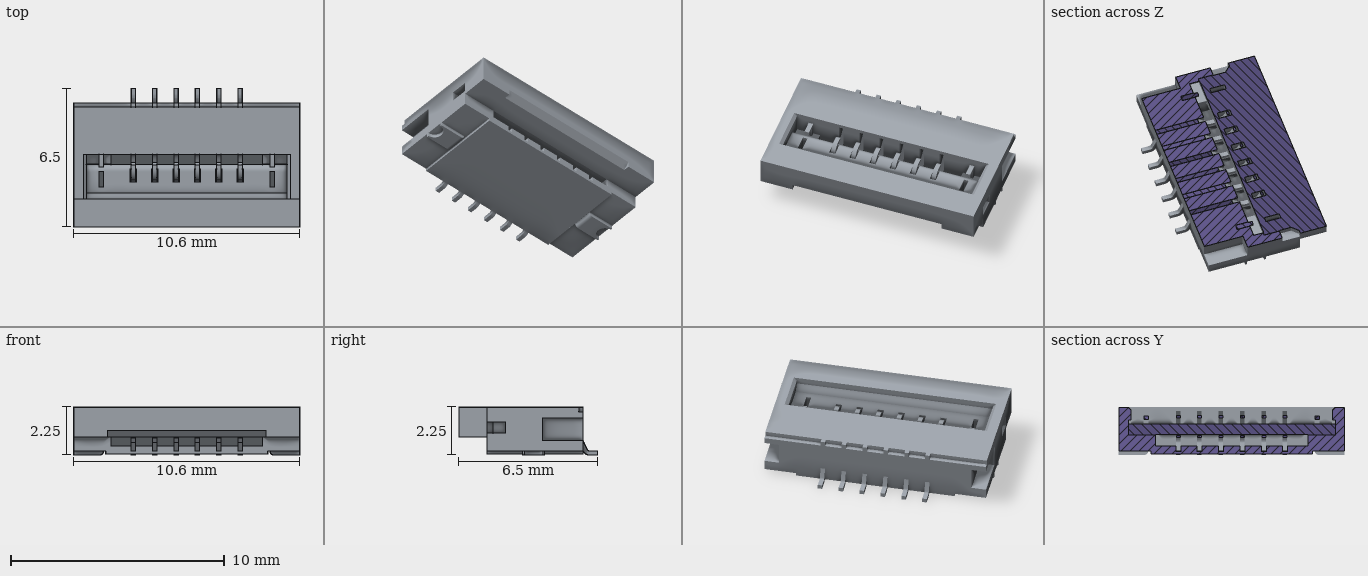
import cadquery as cq
import math


width = 10.6
height = 2.25
half_width = width / 2

housing_bottom = 0.05
housing_rear = 5.82
cavity_half = 4.7
cavity_rear = 3.4
cavity_chamfer = 0.15
channel_half = 3.55
channel_floor = 0.43
ledge_front = 2.95
ledge_top = 1.19
tab_recess_half = 3.8
rear_step_depth = 0.2
rear_step_height = 0.22
side_pocket_length = 1.91
side_pocket_depth = 0.69
side_pocket_bottom = 0.68
side_pocket_top = 1.74
window_length = 0.87
window_bottom = 1.03
window_top = 1.55
contact_slot_top = 2.06

bar_depth = 1.31
bar_bottom = 0.85
lead_in_half = 3.7
lead_in = 0.3
tongue_half = 4.83
tongue_rear = 2.93
tongue_bottom = 0.95
tongue_top = 1.64
tongue_round = 0.33
root_taper = 0.29
contact_hole_front = 2.12
contact_hole_rear = 2.72
contact_hole_width = 0.3
tab_slot_front = 1.89
tab_slot_rear = tongue_rear - tongue_round

contact_count = 6
contact_pitch = 1.0
contact_width = 0.21
spring_thickness = 0.13
loop_radius = 0.53
loop_y = contact_hole_rear
loop_bottom = 0.81
loop_z = loop_bottom + loop_radius
arm_flat_rear = 2.92
arm_rear = 3.02
arm_end_drop = 0.05
bend_y = 3.12
bend_radius = 0.45
bend_angle = math.radians(38)
base_bottom = 0.19
base_toe_y = 2.86
base_knee = (3.6, 0.59)
spring_root = (3.84, 1.21)
base_top = 1.43
foot_end = 6.5
foot_thickness = 0.2
foot_bend_y = 6.12
foot_bend_inner = 0.12
leg_angle = math.radians(65)

tab_x = 4.01
tab_plate_width = 0.22
tab_thickness = 0.19
tab_front = 2.99
tab_rear = 4.02
tab_notch_radius = 0.42
tab_plate_front = 3.21
tab_arm_front = 2.81
tab_arm_bottom = 1.65
tab_arm_top = 1.84


def box(x0, x1, y0, y1, z0, z1):
    return cq.Workplane("XY").box(x1 - x0, y1 - y0, z1 - z0, centered=False).translate((x0, y0, z0))


def centered_box(half, y0, y1, z0, z1):
    return box(-half, half, y0, y1, z0, z1)


def both_sides(shape):
    return shape.union(shape.mirror("YZ"))


def along_row(shape):
    """Copies of a shape at x = 0, one at each contact."""
    first = -contact_pitch * (contact_count - 1) / 2
    return [shape.translate((first + i * contact_pitch, 0, 0)) for i in range(contact_count)]


def extrude_across(profile, thickness):
    """Solid from a closed YZ profile, centred on x = 0."""
    return profile.extrude(thickness / 2, both=True)


def make_tongue():
    """Tongue with a square rear edge, which is also the shape of its slot in the housing."""
    taper_end = bar_depth + root_taper
    root_half = tongue_half + root_taper
    outline = (
        cq.Workplane("XY").workplane(offset=tongue_bottom)
        .moveTo(-root_half, bar_depth)
        .lineTo(root_half, bar_depth)
        .lineTo(tongue_half, taper_end)
        .lineTo(tongue_half, tongue_rear)
        .lineTo(-tongue_half, tongue_rear)
        .lineTo(-tongue_half, taper_end)
        .close()
    )
    return outline.extrude(tongue_top - tongue_bottom)


def make_top_taper():
    """Wedge between the top of the tongue and the bar, inside the housing cavity."""
    profile = (
        cq.Workplane("YZ")
        .moveTo(bar_depth, tongue_top)
        .lineTo(bar_depth + root_taper, tongue_top)
        .lineTo(bar_depth, tongue_top + root_taper)
        .close()
    )
    return extrude_across(profile, 2 * cavity_half)


def make_lead_in():
    profile = (
        cq.Workplane("YZ")
        .moveTo(0, bar_bottom)
        .lineTo(lead_in, bar_bottom)
        .lineTo(0, bar_bottom + lead_in)
        .close()
    )
    return extrude_across(profile, 2 * lead_in_half)


def make_actuator(tongue):
    bar = centered_box(half_width, 0, bar_depth, bar_bottom, height).cut(make_lead_in())
    rounded_tongue = tongue.faces(">Y").edges(">Z").fillet(tongue_round)
    body = bar.union(rounded_tongue).union(make_top_taper())
    hole = centered_box(
        contact_hole_width / 2, contact_hole_front, contact_hole_rear, tongue_bottom, tongue_top
    )
    for contact_hole in along_row(hole):
        body = body.cut(contact_hole)
    tab_slot = centered_box(
        tab_plate_width / 2, tab_slot_front, tab_slot_rear, tongue_bottom, tongue_top
    )
    return body.cut(both_sides(tab_slot.translate((tab_x, 0, 0))))


def make_contact():
    """Foot, leg, base with a rear stop, and a spring looped around the rear edge of the tongue."""
    inner_loop = loop_radius - spring_thickness
    loop_top = loop_z + loop_radius
    spring_top = loop_bottom + spring_thickness
    outer_bend = bend_radius + spring_thickness
    bend_z = spring_top + bend_radius

    def on_bend(radius, angle):
        return (bend_y + radius * math.sin(angle), bend_z - radius * math.cos(angle))

    top_bend_end = on_bend(bend_radius, bend_angle)
    rise_end = top_bend_end[0] + (base_top - top_bend_end[1]) / math.tan(bend_angle)
    foot_bend_outer = foot_bend_inner + foot_thickness

    def on_foot_bend(radius, angle):
        return (foot_bend_y - radius * math.sin(angle), foot_bend_outer - radius * math.cos(angle))

    leg_start = on_foot_bend(foot_bend_inner, leg_angle)
    leg_top = leg_start[1] + (leg_start[0] - housing_rear) * math.tan(leg_angle)
    stop_front = housing_rear - rear_step_depth

    profile = (
        cq.Workplane("YZ")
        .moveTo(foot_end, 0)
        .lineTo(foot_end, foot_thickness)
        .lineTo(foot_bend_y, foot_thickness)
        .threePointArc(on_foot_bend(foot_bend_inner, leg_angle / 2), leg_start)
        .lineTo(housing_rear, leg_top)
        .lineTo(housing_rear, height)
        .lineTo(stop_front, height)
        .lineTo(stop_front, base_top)
        .lineTo(rise_end, base_top)
        .lineTo(*top_bend_end)
        .threePointArc(on_bend(bend_radius, bend_angle / 2), (bend_y, spring_top))
        .lineTo(loop_y, spring_top)
        .threePointArc((loop_y - inner_loop, loop_z), (loop_y, loop_top - spring_thickness))
        .lineTo(arm_rear, loop_top - spring_thickness)
        .lineTo(arm_rear, loop_top - arm_end_drop)
        .lineTo(arm_flat_rear, loop_top)
        .lineTo(loop_y, loop_top)
        .threePointArc((loop_y - loop_radius, loop_z), (loop_y, loop_bottom))
        .lineTo(bend_y, loop_bottom)
        .threePointArc(on_bend(outer_bend, bend_angle / 2), on_bend(outer_bend, bend_angle))
        .lineTo(*spring_root)
        .lineTo(*base_knee)
        .lineTo(base_toe_y, base_bottom)
        .lineTo(housing_rear, base_bottom)
        .lineTo(*on_foot_bend(foot_bend_outer, leg_angle))
        .threePointArc(on_foot_bend(foot_bend_outer, leg_angle / 2), (foot_bend_y, 0))
        .close()
    )
    return extrude_across(profile, contact_width)


def make_solder_tab():
    """Tab on the +X side: a notched sole and an upright plate with an arm over the tongue."""
    inner_x = tab_x - tab_plate_width / 2
    outer_x = tab_x + tab_plate_width / 2
    bend_offset = tab_thickness * (1 - math.sqrt(0.5))
    sole = (
        cq.Workplane("XZ", origin=(0, tab_rear, 0))
        .moveTo(inner_x, tab_thickness)
        .threePointArc((inner_x + bend_offset, bend_offset), (inner_x + tab_thickness, 0))
        .lineTo(half_width, 0)
        .lineTo(half_width, tab_thickness)
        .close()
        .extrude(tab_rear - tab_front)
    )
    notch = (
        cq.Workplane("XY")
        .center(half_width, (tab_front + tab_rear) / 2)
        .circle(tab_notch_radius)
        .extrude(tab_thickness)
    )
    plate = box(inner_x, outer_x, tab_plate_front, tab_rear, tab_thickness, tab_arm_top)
    arm = box(inner_x, outer_x, tab_arm_front, tab_plate_front, tab_arm_bottom, tab_arm_top)
    return sole.cut(notch).union(plate).union(arm)


def make_cavity():
    """Open top of the housing, above the tongue and the ledges."""
    above_tongue = centered_box(cavity_half, bar_depth, tongue_rear, tongue_top, height)
    tongue_gap = centered_box(cavity_half, tongue_rear, ledge_front, tongue_bottom, height)
    above_ledges = centered_box(cavity_half, ledge_front, cavity_rear, ledge_top, height)
    chamfer_half = cavity_half + cavity_chamfer
    rim = (
        cq.Workplane("XZ", origin=(0, cavity_rear, 0))
        .moveTo(-chamfer_half, height)
        .lineTo(chamfer_half, height)
        .lineTo(cavity_half, height - cavity_chamfer)
        .lineTo(-cavity_half, height - cavity_chamfer)
        .close()
        .extrude(cavity_rear - bar_depth)
    )
    return above_tongue.union(tongue_gap).union(above_ledges).union(rim)


def make_housing(tongue, tabs):
    body = centered_box(half_width, bar_depth, housing_rear, housing_bottom, height)
    body = body.cut(make_cavity()).cut(tongue)
    body = body.cut(centered_box(channel_half, bar_depth, cavity_rear, channel_floor, ledge_top))

    step_front = housing_rear - rear_step_depth
    body = body.cut(
        centered_box(half_width, step_front, housing_rear, height - rear_step_height, height)
    )
    tab_recess = box(tab_recess_half, half_width, bar_depth, housing_rear, housing_bottom, tab_thickness)
    side_pocket = box(
        half_width - side_pocket_depth, half_width,
        housing_rear - side_pocket_length, housing_rear,
        side_pocket_bottom, side_pocket_top,
    )
    window = box(
        tongue_half, half_width, bar_depth, bar_depth + window_length, window_bottom, window_top
    )
    for cut in (tab_recess, side_pocket, window):
        body = body.cut(both_sides(cut))

    groove = centered_box(contact_width / 2, bar_depth, cavity_rear, base_bottom, channel_floor)
    slot = centered_box(contact_width / 2, cavity_rear, housing_rear, base_bottom, contact_slot_top)
    for contact_slot in along_row(groove.union(slot)):
        body = body.cut(contact_slot)
    for tab in tabs:
        body = body.cut(tab)
    return body


tongue = make_tongue()
actuator = make_actuator(tongue)
contacts = along_row(make_contact())
right_tab = make_solder_tab()
solder_tabs = [right_tab, right_tab.mirror("YZ")]
housing = make_housing(tongue, solder_tabs)

result = cq.Compound.makeCompound([
    *housing.solids().vals(),
    *actuator.solids().vals(),
    *[contact.val() for contact in contacts],
    *[tab.val() for tab in solder_tabs],
])